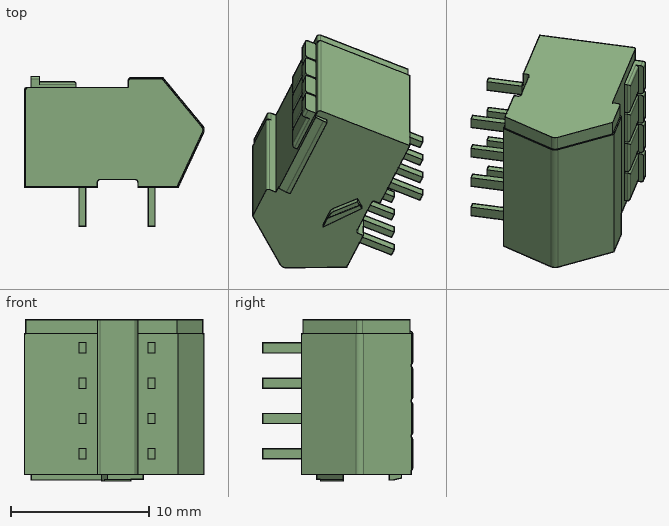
import cadquery as cq

BODY_HEIGHT = 10.2
COVER_HEIGHT = 1.0
COVER_INSET = 0.1
BACK_Y = 7.24
SHOULDER_Y = 7.95
SHOULDER_X = 7.5
SHOULDER_END_X = 10.02
NOSE_X = 13.085
NOSE_Y = 4.24
NOSE_RADIUS = 0.5
FRONT_END_X = 11.11
CORNER_RADIUS = 0.2

GROOVE_START_X = 5.28
GROOVE_END_X = 8.2
GROOVE_DEPTH = 0.58

POLE_COUNT = 4
POLE_PITCH = 2.55
FIRST_POLE_Z = 1.51
FIRST_PIN_X = 4.2
PIN_ROW_SPACING = 5.0
PIN_WIDTH = 0.5
PIN_HEIGHT = 0.75
PIN_LENGTH = 2.8

PUSHER_START_X = 0.48
PUSHER_LIP_X = 1.1
PUSHER_END_X = 3.75
PUSHER_LIP_Y = 8.05
PUSHER_ARM_Y = 7.67
PUSHER_HEIGHT = 2.42
PUSHER_RADIUS = 0.2

LEDGE_MARGIN = 0.5
LEDGE_WIDTH = 0.9
LEDGE_FLAT_WIDTH = 0.3
LEDGE_EDGE_DEPTH = 0.25
LEDGE_DEPTH = 0.39

KEY_TIP = (5.58, 1.65)
KEY_BACK_Y = 3.03
KEY_BACK_X = 7.2
KEY_BASE_CORNER = (6.02, 1.1)
KEY_BACK_RADIUS = 0.6
KEY_BASE_END_X = 8.6
KEY_BASE_DEPTH = 0.34
KEY_STEP_TIP_FRACTION = 0.5
KEY_STEP_END_X = 7.7
KEY_DEPTH = 0.46


def housing_prism(inset, z_start, height):
    """Prism of the housing outline; its nose, shoulder, front and left faces move in by inset."""
    corners = [
        (0, 0),
        (FRONT_END_X, 0),
        (NOSE_X, NOSE_Y),
        (SHOULDER_END_X, SHOULDER_Y),
        (0, SHOULDER_Y),
    ]
    envelope = cq.Workplane("XY").polyline(corners).close()
    if inset:
        envelope = envelope.offset2D(-inset)
    prism = envelope.extrude(height)
    prism = prism.edges("|Z and >X").fillet(NOSE_RADIUS - inset)

    notch = cq.Workplane("XY").box(
        SHOULDER_X, SHOULDER_Y - BACK_Y, height, centered=False
    ).translate((0, BACK_Y, 0))
    prism = prism.cut(notch)
    left_back = cq.selectors.NearestToPointSelector((inset, BACK_Y, height / 2))
    shoulder = cq.selectors.NearestToPointSelector((SHOULDER_X, SHOULDER_Y - inset, height / 2))
    prism = prism.edges("|Z").edges(left_back).fillet(CORNER_RADIUS)
    prism = prism.edges("|Z").edges(shoulder).fillet(CORNER_RADIUS)
    return prism.translate((0, 0, z_start))


def front_groove():
    """Full-height cutter for the groove, rounded along its two inner corners."""
    groove = cq.Workplane("XY").box(
        GROOVE_END_X - GROOVE_START_X, GROOVE_DEPTH, BODY_HEIGHT + COVER_HEIGHT, centered=False
    )
    groove = groove.edges("|Z and >Y").fillet(CORNER_RADIUS)
    return groove.translate((GROOVE_START_X, 0, 0))


def pin(x, z):
    """Solder pin standing out of the front face, centred on x and z."""
    return cq.Workplane("XZ").center(x, z).rect(PIN_WIDTH, PIN_HEIGHT).extrude(PIN_LENGTH)


def pusher(z):
    """Stepped pusher on the back face, rounded along its outer edges."""
    lip = cq.Workplane("XY").box(
        PUSHER_LIP_X - PUSHER_START_X, PUSHER_LIP_Y - BACK_Y, PUSHER_HEIGHT, centered=False
    )
    lip = lip.faces(">Y").edges("|X").fillet(PUSHER_RADIUS)
    arm = cq.Workplane("XY").box(
        PUSHER_END_X - PUSHER_START_X, PUSHER_ARM_Y - BACK_Y, PUSHER_HEIGHT, centered=False
    )
    arm = arm.faces(">Y").edges("|X or >X").fillet(PUSHER_RADIUS)
    return lip.union(arm).translate((PUSHER_START_X, BACK_Y, z - PUSHER_HEIGHT / 2))


def underside_ledge():
    """Bar under the low part of the back, thinning toward the back face."""
    front_y = BACK_Y - LEDGE_WIDTH
    profile = [
        (front_y, 0),
        (front_y, -LEDGE_DEPTH),
        (front_y + LEDGE_FLAT_WIDTH, -LEDGE_DEPTH),
        (BACK_Y, -LEDGE_EDGE_DEPTH),
        (BACK_Y, 0),
    ]
    bar = cq.Workplane("YZ").polyline(profile).close().extrude(SHOULDER_X - 2 * LEDGE_MARGIN)
    return bar.translate((LEDGE_MARGIN, 0, 0))


def key_layer(tip_fraction, end_x, depth):
    """One slanted layer of the key; its blunt tip spans a fraction of the base layer's tip face."""
    front_corner = tuple(
        tip + tip_fraction * (corner - tip) for tip, corner in zip(KEY_TIP, KEY_BASE_CORNER)
    )
    outline = [KEY_TIP, front_corner, (end_x, KEY_BACK_Y), (KEY_BACK_X, KEY_BACK_Y)]
    layer = cq.Workplane("XY").polyline(outline).close().extrude(-depth)
    back_corner = cq.selectors.NearestToPointSelector((KEY_BACK_X, KEY_BACK_Y, -depth / 2))
    return layer.edges("|Z").edges(back_corner).fillet(KEY_BACK_RADIUS)


result = housing_prism(0, 0, BODY_HEIGHT)
result = result.union(housing_prism(COVER_INSET, BODY_HEIGHT, COVER_HEIGHT))
result = result.cut(front_groove())

for pole in range(POLE_COUNT):
    pole_z = FIRST_POLE_Z + pole * POLE_PITCH
    result = result.union(pin(FIRST_PIN_X, pole_z))
    result = result.union(pin(FIRST_PIN_X + PIN_ROW_SPACING, pole_z))
    result = result.union(pusher(pole_z))

result = result.union(underside_ledge())
result = result.union(key_layer(1, KEY_BASE_END_X, KEY_BASE_DEPTH))
result = result.union(key_layer(KEY_STEP_TIP_FRACTION, KEY_STEP_END_X, KEY_DEPTH))